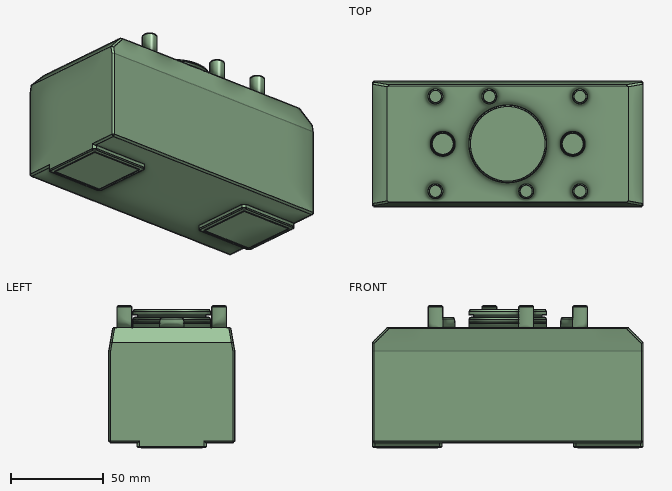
import cadquery as cq
import math

LENGTH = 146.0
WIDTH = 68.0
TOTAL_HEIGHT = 77.0

FOOT_DROP = 2.9
PIN_HEIGHT = 12.0
HOUSING_TOP = TOTAL_HEIGHT - PIN_HEIGHT
TAPER_HEIGHT = 12.5
TAPER_ANGLE = 10.0
END_CHAMFER = 8.0
EDGE_BEVEL = 1.0
TOP_EDGE_BEVEL = 0.51

FOOT_SIDE = 37.7
FOOT_HEIGHT = 5.1
FOOT_CORNER_BEVEL = 1.5
FOOT_RIM_BEVEL = 0.6
PAD_HEIGHT = 0.5
PAD_INSET = 2.6

EMBED = 1.5

HUB_RADIUS = 42.0 / 2
HUB_HEIGHT = 10.0
HUB_BEVEL_RISE = 1.3
HUB_BEVEL_INSET = 0.9
GROOVE_RADIUS = 37.0 / 2
GROOVE_BOTTOM = 2.2
GROOVE_TOP = 6.9
LIP_RADIUS = 41.8 / 2
LIP_HEIGHT = 0.5
RING_SECTION_RADIUS = 3.5 / 2
RING_LAND_HALF_HEIGHT = 0.5

BUTTON_SPACING = 70.1
BUTTON_RADIUS = 13.5 / 2
BUTTON_BASE_HEIGHT = 0.5
BUTTON_SHOULDER_RADIUS = 6.3
BUTTON_TOP_RADIUS = 5.7
BUTTON_HEIGHT = 5.5
BUTTON_RIM_RISE = 0.7

PIN_DIAMETER = 8.0
PIN_BEVEL = 0.7
PIN_ROW_Y = 25.5
PIN_OUTER_X = 39.0
PIN_INNER_X = 10.0


def make_housing():
    """Box with tapered long sides, chamfered top ends and bevelled edges."""
    half_width = WIDTH / 2
    taper_inset = TAPER_HEIGHT * math.tan(math.radians(TAPER_ANGLE))
    section = [
        (-half_width, FOOT_DROP),
        (half_width, FOOT_DROP),
        (half_width, HOUSING_TOP - TAPER_HEIGHT),
        (half_width - taper_inset, HOUSING_TOP),
        (taper_inset - half_width, HOUSING_TOP),
        (-half_width, HOUSING_TOP - TAPER_HEIGHT),
    ]
    housing = cq.Workplane("YZ").polyline(section).close().extrude(LENGTH / 2, both=True)
    housing = housing.faces(">Z").edges("|Y").chamfer(END_CHAMFER)
    housing = housing.edges("(not (|X or |Y)) or <Z").chamfer(EDGE_BEVEL)
    return housing.faces(">Z").edges("|X").chamfer(TOP_EDGE_BEVEL)


def make_foot(side):
    """Square foot with a raised pad below, flush with the housing end; side is -1 or +1 along X."""
    centre_x = side * (LENGTH - FOOT_SIDE) / 2
    foot = cq.Workplane("XY").workplane(offset=PAD_HEIGHT)
    foot = foot.rect(FOOT_SIDE, FOOT_SIDE).extrude(FOOT_HEIGHT - PAD_HEIGHT)
    foot = foot.edges("|Z").chamfer(FOOT_CORNER_BEVEL)
    foot = foot.faces("<Z").chamfer(FOOT_RIM_BEVEL)
    pad_side = FOOT_SIDE - 2 * PAD_INSET
    pad = cq.Workplane("XY").rect(pad_side, pad_side).extrude(FOOT_HEIGHT)
    return foot.union(pad).translate((centre_x, 0, 0))


def make_hub():
    """Round hub with a lipped groove holding an O-ring flattened on its outside."""
    outline = [
        (0, -EMBED),
        (HUB_RADIUS, -EMBED),
        (HUB_RADIUS, GROOVE_BOTTOM),
        (LIP_RADIUS, GROOVE_BOTTOM),
        (LIP_RADIUS, GROOVE_BOTTOM + LIP_HEIGHT),
        (GROOVE_RADIUS, GROOVE_BOTTOM + LIP_HEIGHT),
        (GROOVE_RADIUS, GROOVE_TOP),
        (HUB_RADIUS, GROOVE_TOP),
        (HUB_RADIUS, HUB_HEIGHT - HUB_BEVEL_RISE),
        (HUB_RADIUS - HUB_BEVEL_INSET, HUB_HEIGHT),
        (0, HUB_HEIGHT),
    ]
    hub = cq.Workplane("XZ").polyline(outline).close().revolve(360, (0, 0), (0, 1))
    return hub.union(make_ring()).translate((0, 0, HOUSING_TOP))


def make_ring():
    """O-ring seated on the groove's lower wall, cut flush with the hub around its outside."""
    land_depth = math.sqrt(RING_SECTION_RADIUS**2 - RING_LAND_HALF_HEIGHT**2)
    centre_r = HUB_RADIUS - land_depth
    centre_z = GROOVE_BOTTOM + RING_SECTION_RADIUS
    ring = (
        cq.Workplane("XZ")
        .center(centre_r, centre_z)
        .circle(RING_SECTION_RADIUS)
        .revolve(360, (-centre_r, 0), (-centre_r, 1))
    )
    envelope = cq.Workplane("XY").circle(HUB_RADIUS).extrude(HUB_HEIGHT)
    return ring.intersect(envelope)


def make_button(x):
    """Locating button with a bulging side and a bevelled rim."""
    shoulder_z = BUTTON_HEIGHT - BUTTON_RIM_RISE
    middle_radius = BUTTON_RADIUS - (BUTTON_RADIUS - BUTTON_SHOULDER_RADIUS) / 4
    middle_z = (BUTTON_BASE_HEIGHT + shoulder_z) / 2
    button = (
        cq.Workplane("XZ")
        .moveTo(0, -EMBED)
        .lineTo(BUTTON_RADIUS, -EMBED)
        .lineTo(BUTTON_RADIUS, BUTTON_BASE_HEIGHT)
        .threePointArc((middle_radius, middle_z), (BUTTON_SHOULDER_RADIUS, shoulder_z))
        .lineTo(BUTTON_TOP_RADIUS, BUTTON_HEIGHT)
        .lineTo(0, BUTTON_HEIGHT)
        .close()
        .revolve(360, (0, 0), (0, 1))
    )
    return button.translate((x, 0, HOUSING_TOP))


def make_pins():
    """Six pins in two rows; the inner pins sit diagonally opposite each other."""
    front_row = [(x, -PIN_ROW_Y) for x in (-PIN_OUTER_X, PIN_INNER_X, PIN_OUTER_X)]
    back_row = [(-x, -y) for x, y in front_row]
    return (
        cq.Workplane("XY")
        .workplane(offset=HOUSING_TOP - EMBED)
        .pushPoints(front_row + back_row)
        .circle(PIN_DIAMETER / 2)
        .extrude(PIN_HEIGHT + EMBED)
        .faces(">Z")
        .edges()
        .chamfer(PIN_BEVEL)
    )


result = make_housing().union(make_hub()).union(make_pins())
for side in (-1, 1):
    result = result.union(make_foot(side)).union(make_button(side * BUTTON_SPACING / 2))